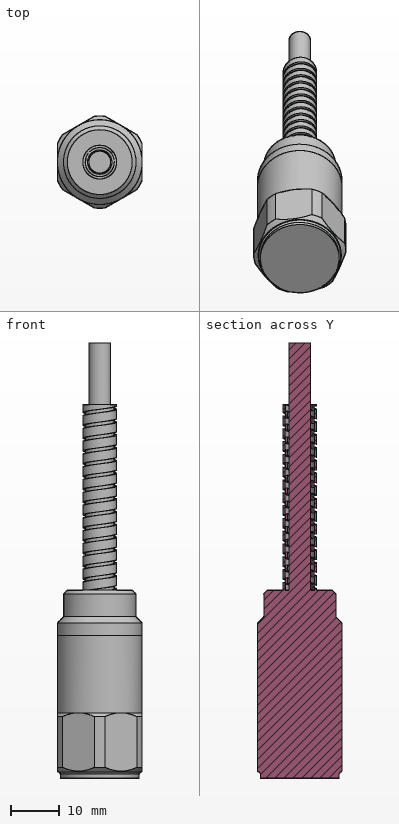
import cadquery as cq
import math

total_height = 89.61
spigot_height = 0.86
nut_bottom = 1.3
nut_corner_bottom = 2.25
nut_corner_top = 12.7
collar_bottom = 29.4
collar_top = 32.0
head_top = 38.75
conduit_top = 76.9

spigot_diameter = 16.26
spigot_flare = 0.3
body_diameter = 17.44
collar_diameter = 17.46
head_diameter = 14.94
head_chamfer = 0.8
cable_diameter = 4.5

nut_across_flats = 17.48
nut_across_corners = 19.04
nut_chamfer = (nut_across_corners - nut_across_flats) / 2

conduit_outer_diameter = 6.95
conduit_inner_diameter = 5.0
outer_groove_width = 0.7
inner_groove_width = 1.4
groove_pitch = 2.635
groove_top_turn = 74.95
groove_overrun = 0.3


def stepped_body():
    """Body turned about Z: collar with a conical shoulder, then the chamfered head."""
    body_radius = body_diameter / 2
    collar_radius = collar_diameter / 2
    head_radius = head_diameter / 2
    shoulder_top = collar_top + collar_radius - head_radius
    profile = [
        (0, nut_corner_bottom),
        (body_radius, nut_corner_bottom),
        (body_radius, collar_bottom),
        (collar_radius, collar_bottom),
        (collar_radius, collar_top),
        (head_radius, shoulder_top),
        (head_radius, head_top - head_chamfer),
        (head_radius - head_chamfer, head_top),
        (0, head_top),
    ]
    return cq.Workplane("XZ").polyline(profile).close().revolve()


def spigot():
    """Short round end below the nut, flaring out where it meets the nut."""
    radius = spigot_diameter / 2
    profile = [
        (0, 0),
        (radius, 0),
        (radius, spigot_height),
        (radius + spigot_flare, nut_bottom),
        (0, nut_bottom),
    ]
    return cq.Workplane("XZ").polyline(profile).close().revolve()


def hex_nut():
    """Hexagon with two flats facing +X and -X, trimmed by a chamfered blank."""
    blank_radius = nut_across_corners / 2
    bottom_radius = blank_radius - (nut_corner_bottom - nut_bottom)
    nut_top = nut_corner_top + nut_chamfer
    blank_profile = [
        (0, nut_bottom),
        (bottom_radius, nut_bottom),
        (blank_radius, nut_corner_bottom),
        (blank_radius, nut_corner_top),
        (blank_radius - nut_chamfer, nut_top),
        (0, nut_top),
    ]
    blank = cq.Workplane("XZ").polyline(blank_profile).close().revolve()
    sharp_diameter = nut_across_flats / math.cos(math.pi / 6)
    hexagon = (
        cq.Workplane("XY")
        .polygon(6, sharp_diameter)
        .extrude(nut_top)
        .rotate((0, 0, 0), (0, 0, 1), 30)
    )
    return blank.intersect(hexagon)


def spiral_cutter(inner_radius, outer_radius, width, start, end):
    """Right-handed spiral of rectangular section whose first turn starts on the -X side."""
    path = cq.Wire.makeHelix(groove_pitch, end - start, inner_radius)
    return (
        cq.Workplane("XZ")
        .center((inner_radius + outer_radius) / 2, 0)
        .rect(outer_radius - inner_radius, width)
        .sweep(cq.Workplane(obj=path), isFrenet=True)
        .rotate((0, 0, 0), (0, 0, 1), 180)
        .translate((0, 0, start))
    )


def conduit():
    """Spiral-wound tube: an outside groove and, half a pitch away, an inside groove."""
    outer_radius = conduit_outer_diameter / 2
    inner_radius = conduit_inner_diameter / 2
    middle_radius = (outer_radius + inner_radius) / 2
    turns_below = math.ceil((groove_top_turn - head_top) / groove_pitch) + 1
    turns_above = math.ceil((conduit_top - groove_top_turn) / groove_pitch) + 1
    start = groove_top_turn - turns_below * groove_pitch
    end = groove_top_turn + turns_above * groove_pitch
    half_pitch = groove_pitch / 2
    outside_groove = spiral_cutter(
        middle_radius, outer_radius + groove_overrun, outer_groove_width, start, end
    )
    inside_groove = spiral_cutter(
        inner_radius - groove_overrun, middle_radius, inner_groove_width, start + half_pitch, end + half_pitch
    )
    overlong_bottom = start - groove_pitch
    overlong_top = end + 2 * groove_pitch
    overlong_tube = (
        cq.Workplane("XY", origin=(0, 0, overlong_bottom))
        .circle(outer_radius)
        .circle(inner_radius)
        .extrude(overlong_top - overlong_bottom)
    )
    wound_tube = cq.Workplane(obj=overlong_tube.val().cut(outside_groove.val(), inside_groove.val()))
    trim_block = (
        cq.Workplane("XY", origin=(0, 0, head_top))
        .rect(head_diameter, head_diameter)
        .extrude(conduit_top - head_top)
    )
    return wound_tube.intersect(trim_block)


def cable():
    """Straight round cable standing out of the head."""
    return (
        cq.Workplane("XY", origin=(0, 0, head_top))
        .circle(cable_diameter / 2)
        .extrude(total_height - head_top)
    )


result = (
    stepped_body()
    .union(hex_nut())
    .union(spigot())
    .union(cable())
    .union(conduit())
)